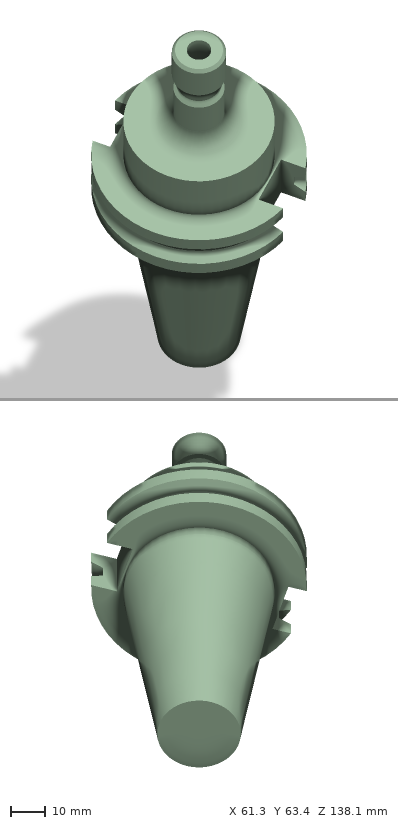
import cadquery as cq
import math


total_height = 138.1
gauge_z = 68.4
flange_bottom_z = 71.5
flange_thickness = 15.9
flange_top_z = flange_bottom_z + flange_thickness
groove_center_z = flange_bottom_z + flange_thickness / 2
collar_top_z = 103.6

gauge_radius = 22.2
taper_ratio = 7 / 24
taper_end_radius = gauge_radius - gauge_z * taper_ratio / 2
flange_radius = 63.4 / 2
groove_radius = 28.2
groove_floor_width = 3.7
groove_side_height = 1.7

stem_radius = 15.0 / 2
stem_fillet = 5.0
stem_top_z = 120.0
neck_radius = 6.2
neck_bottom_z = 121.5
neck_top_z = 124.7
shoulder_radius = 6.5
head_bottom_z = 126.6
head_radius = 8.0
head_chamfer = 1.0
bore_diameter = 7.2
bore_depth = total_height - head_bottom_z

slot_width = 16.2
left_slot_floor = 25.0
right_slot_floor = 22.8
slot_hole_diameter = 9.8
slot_hole_depth = 8.3


def turned_body():
    """Revolve the half profile of taper, flange, collar, stem and head."""
    floor_bottom_z = groove_center_z - groove_floor_width / 2
    floor_top_z = groove_center_z + groove_floor_width / 2
    fillet_offset = stem_fillet * (1 - math.sqrt(0.5))
    profile = (
        cq.Workplane("XZ")
        .moveTo(0, 0)
        .lineTo(taper_end_radius, 0)
        .lineTo(gauge_radius, gauge_z)
        .lineTo(gauge_radius, flange_bottom_z)
        .lineTo(flange_radius, flange_bottom_z)
        .lineTo(flange_radius, floor_bottom_z - groove_side_height)
        .lineTo(groove_radius, floor_bottom_z)
        .lineTo(groove_radius, floor_top_z)
        .lineTo(flange_radius, floor_top_z + groove_side_height)
        .lineTo(flange_radius, flange_top_z)
        .lineTo(gauge_radius, flange_top_z)
        .lineTo(gauge_radius, collar_top_z)
        .lineTo(stem_radius + stem_fillet, collar_top_z)
        .threePointArc(
            (stem_radius + fillet_offset, collar_top_z + fillet_offset),
            (stem_radius, collar_top_z + stem_fillet),
        )
        .lineTo(stem_radius, stem_top_z)
        .lineTo(neck_radius, neck_bottom_z)
        .lineTo(neck_radius, neck_top_z)
        .lineTo(shoulder_radius, neck_top_z)
        .lineTo(shoulder_radius, head_bottom_z)
        .lineTo(head_radius, head_bottom_z)
        .lineTo(head_radius, total_height - head_chamfer)
        .lineTo(head_radius - head_chamfer, total_height)
        .lineTo(0, total_height)
        .close()
    )
    return profile.revolve(360, (0, 0, 0), (0, 1, 0))


def drive_slot(floor_distance, side):
    """Cutter for a slot through the flange rim; side is -1 for -X and +1 for +X."""
    cutter = cq.Workplane("XY").box(flange_radius, slot_width, flange_thickness)
    return cutter.translate((side * (floor_distance + flange_radius / 2), 0, groove_center_z))


def slot_hole():
    """Cutter for the blind radial hole in the floor of the -X slot."""
    return (
        cq.Workplane("YZ", origin=(-left_slot_floor, 0, groove_center_z))
        .circle(slot_hole_diameter / 2)
        .extrude(slot_hole_depth)
    )


def head_bore():
    """Cutter for the blind hole down the axis of the head."""
    return (
        cq.Workplane("XY", origin=(0, 0, total_height))
        .circle(bore_diameter / 2)
        .extrude(-bore_depth)
    )


result = (
    turned_body()
    .cut(drive_slot(left_slot_floor, -1))
    .cut(drive_slot(right_slot_floor, 1))
    .cut(slot_hole())
    .cut(head_bore())
)